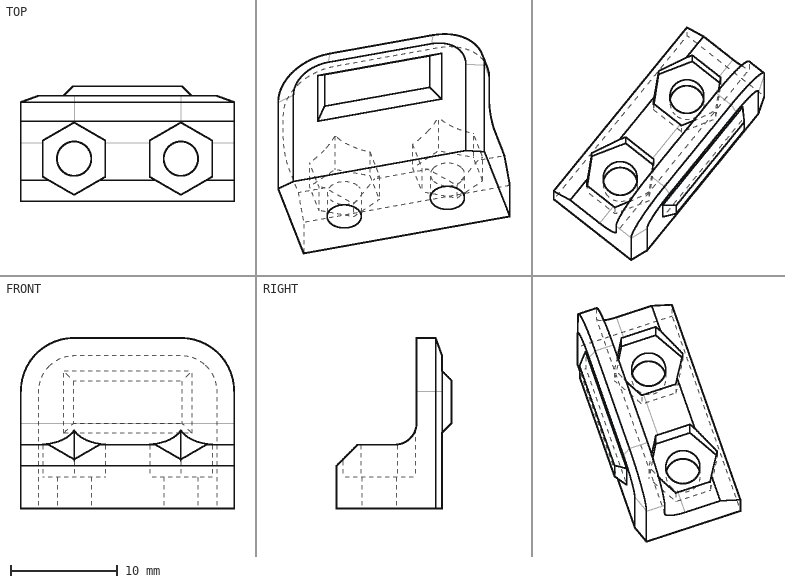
import cadquery as cq
import math

width = 20.0
height = 16.0
body_depth = 9.9

plate_front = 7.5
foot_height = 6.0
foot_chamfer = 2.0
inner_fillet = 2.0
corner_radius = 5.0

bevel_depth = 0.6
bevel_inset = 1.65

pad_width = 12.0
pad_height = 5.8
pad_depth = 0.9
pad_center_z = 10.0

hole_diameter = 3.2
hole_spacing = 10.0
hole_y = 4.0
nut_across_flats = 5.87
nut_floor_z = 3.0


def rounded_top_outline(y, inset):
    """Closed wire at depth y: flat bottom, rounded upper corners, sides and top moved in by inset."""
    half = width / 2 - inset
    top = height - inset
    radius = corner_radius - inset
    arc_center_x = half - radius
    arc_center_z = top - radius
    diagonal = radius * math.sqrt(0.5)
    return (
        cq.Workplane("XZ", origin=(0, y, 0))
        .moveTo(-half, 0)
        .lineTo(half, 0)
        .lineTo(half, arc_center_z)
        .threePointArc((arc_center_x + diagonal, arc_center_z + diagonal), (arc_center_x, top))
        .lineTo(-arc_center_x, top)
        .threePointArc((-arc_center_x - diagonal, arc_center_z + diagonal), (-half, arc_center_z))
        .close()
    )


def side_profile():
    """L-shaped section with a chamfered toe and a filleted inner corner, across the full width."""
    fillet_center_y = plate_front - inner_fillet
    fillet_center_z = foot_height + inner_fillet
    diagonal = inner_fillet * math.sqrt(0.5)
    return (
        cq.Workplane("YZ", origin=(-width / 2, 0, 0))
        .moveTo(0, 0)
        .lineTo(body_depth, 0)
        .lineTo(body_depth, height)
        .lineTo(plate_front, height)
        .lineTo(plate_front, fillet_center_z)
        .threePointArc(
            (fillet_center_y + diagonal, fillet_center_z - diagonal),
            (fillet_center_y, foot_height),
        )
        .lineTo(foot_chamfer, foot_height)
        .lineTo(0, foot_height - foot_chamfer)
        .close()
        .extrude(width)
    )


def plate_envelope():
    """Solid that rounds the upper corners and bevels the back edges."""
    bevel_start = body_depth - bevel_depth
    straight = rounded_top_outline(0, 0).extrude(-bevel_start)
    bevel = cq.Solid.makeLoft(
        [
            rounded_top_outline(bevel_start, 0).wire().val(),
            rounded_top_outline(body_depth, bevel_inset).wire().val(),
        ],
        True,
    )
    return straight.union(cq.Workplane(bevel))


def back_pad():
    """Rectangular pad whose four flanks slope inward at 45 degrees."""
    return (
        cq.Workplane("XZ", origin=(0, body_depth, pad_center_z))
        .rect(pad_width, pad_height)
        .extrude(-pad_depth, taper=45)
    )


def nut_pocket_and_hole(x):
    """Through hole with a hexagonal pocket, corners pointing to the front and back."""
    across_corners = nut_across_flats / math.cos(math.pi / 6)
    pocket = (
        cq.Workplane("XY", origin=(x, hole_y, nut_floor_z))
        .transformed(rotate=(0, 0, 90))
        .polygon(6, across_corners)
        .extrude(height - nut_floor_z)
    )
    hole = cq.Workplane("XY", origin=(x, hole_y, 0)).circle(hole_diameter / 2).extrude(height)
    return pocket.union(hole)


result = side_profile().intersect(plate_envelope()).union(back_pad())
for hole_x in (-hole_spacing / 2, hole_spacing / 2):
    result = result.cut(nut_pocket_and_hole(hole_x))